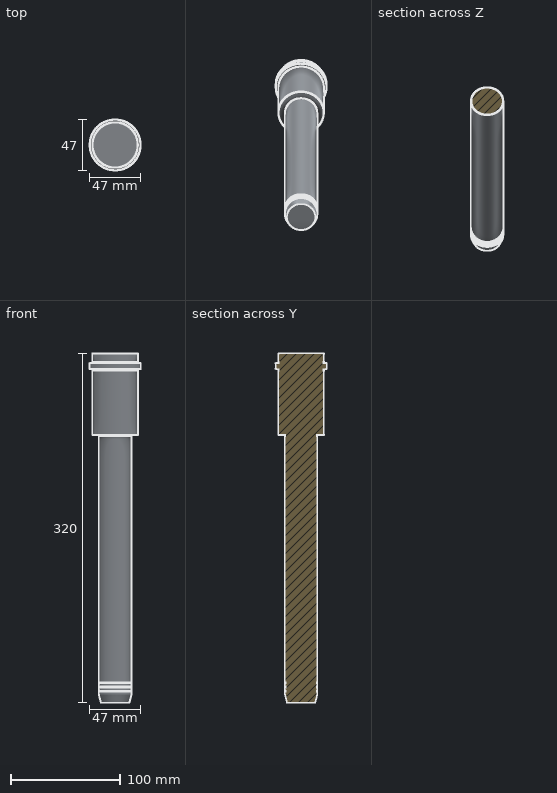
import cadquery as cq

total_length = 320.0
bush_length = 75.0

pillar_diameter = 30.0
bush_diameter = 42.0
collar_diameter = 47.0

collar_top_depth = 9.0
collar_height = 6.0

edge_chamfer = 0.5

lead_in_length = 7.5
tip_diameter = 26.0
lead_in_bulge = 0.1

undercut_width = 0.95
undercut_depth = 0.45

groove_count = 3
groove_pitch = 3.75
groove_width = 1.0
groove_depth = 0.5
first_groove_height = 10.25

bottom_z = -total_length
bush_bottom_z = -bush_length
collar_top_z = -collar_top_depth
collar_bottom_z = collar_top_z - collar_height


def disc(diameter, base_z, height):
    """Solid cylinder on the Z axis, rising from base_z."""
    return cq.Workplane("XY").workplane(offset=base_z).circle(diameter / 2).extrude(height)


def ring_cutter(surface_diameter, depth, base_z, width):
    """Ring that cuts a groove of the given depth into a round surface."""
    core_diameter = surface_diameter - 2 * depth
    return disc(surface_diameter, base_z, width).cut(disc(core_diameter, base_z, width))


def make_pillar():
    """Round pillar, rooted inside the bush, with the lead-in and the grooves."""
    pillar_radius = pillar_diameter / 2
    tip_radius = tip_diameter / 2
    root_z = bush_bottom_z / 2
    lead_in_middle = (
        (pillar_radius + tip_radius) / 2 + lead_in_bulge,
        bottom_z + lead_in_length / 2,
    )
    pillar = (
        cq.Workplane("XZ")
        .moveTo(0, bottom_z)
        .lineTo(tip_radius, bottom_z)
        .threePointArc(lead_in_middle, (pillar_radius, bottom_z + lead_in_length))
        .lineTo(pillar_radius, root_z)
        .lineTo(0, root_z)
        .close()
        .revolve(360, (0, 0), (0, 1))
    )
    for index in range(groove_count):
        groove_z = bottom_z + first_groove_height + index * groove_pitch
        pillar = pillar.cut(ring_cutter(pillar_diameter, groove_depth, groove_z, groove_width))
    undercut_z = bush_bottom_z - undercut_width
    return pillar.cut(ring_cutter(pillar_diameter, undercut_depth, undercut_z, undercut_width))


def make_bush():
    """Chamfered bush with a collar near its top, undercut on both sides of the collar."""
    bush = disc(bush_diameter, bush_bottom_z, bush_length).edges().chamfer(edge_chamfer)
    for undercut_z in (collar_top_z, collar_bottom_z - undercut_width):
        bush = bush.cut(ring_cutter(bush_diameter, undercut_depth, undercut_z, undercut_width))
    collar = disc(collar_diameter, collar_bottom_z, collar_height).edges().chamfer(edge_chamfer)
    return bush.union(collar)


result = make_pillar().union(make_bush())